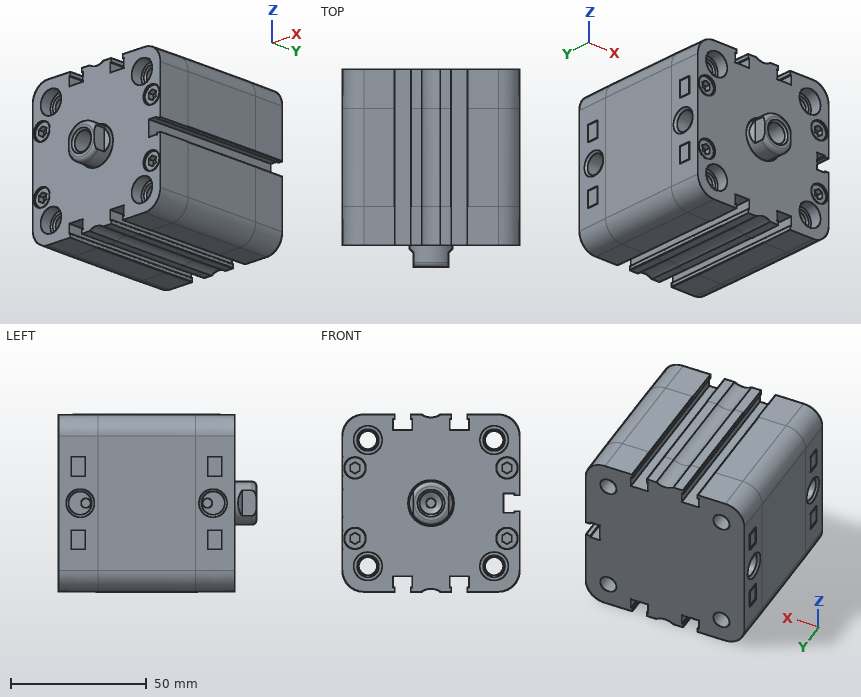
import cadquery as cq
import math


body_width = 65.5
body_length = 65.0
corner_radius = 8.0
cap_length = 14.5
cap_draft = 0.5
tube_length = body_length - 2 * cap_length
rear_joint = body_length - cap_length
half_width = body_width / 2
cap_fall = cap_length * math.tan(math.radians(cap_draft))

slot_offset = 10.45
slot_mouth = 5.8
slot_width = 7.0
slot_depth = 5.75
slot_lip = 1.75
side_slot_depth = 6.0
side_slot_lip = 2.05

groove_width = 7.0
groove_depth = 1.1

mouth_chamfer = 0.2

mount_pitch = 46.5
mount_bore = 6.65
mount_chamfer_diameter = 8.05
mount_chamfer_depth = (mount_chamfer_diameter - mount_bore) / 2
mount_counterbore = 10.5
mount_counterbore_depth = 5.2

screw_half_pitch_x = 28.0
screw_half_pitch_z = 13.0
screw_recess_diameter = 8.05
screw_head_diameter = 7.7
screw_recess_depth = 1.0
screw_head_drop = 0.5
hex_across_flats = 3.65
hex_depth = 2.5

port_inset = 8.0
port_mouth = 10.5
port_bore = 8.57
port_chamfer = (port_mouth - port_bore) / 2
port_depth = 9.0
passage_diameter = 3.5
passage_shift = 2.1
passage_depth = 14.0

label_length = 5.1
label_height = 7.1
label_inset = 7.35
label_half_pitch = 13.5
label_floor = 32.35

rod_diameter = 16.0
rod_hole = 16.5
rod_hole_mouth = 17.0
rod_hole_chamfer = (rod_hole_mouth - rod_hole) / 2
rod_reach = 8.0
rod_seat = cap_length
rod_round = 1.75
flat_across = 13.0
flat_length = 5.35
thread_core = 8.38
thread_mouth = 10.0
thread_chamfer = (thread_mouth - thread_core) / 2
thread_depth = 10.0
drill_half_angle = 59.0
thread_tip = 3.5
thread_tip_depth = (thread_core - thread_tip) / 2 / math.tan(math.radians(drill_half_angle))


def rearward_plane(y):
    """Plane at the given Y, with normal +Y and local X along -X."""
    return cq.Plane(origin=(0, y, 0), xDir=(-1, 0, 0), normal=(0, 1, 0))


def forward_plane(y):
    """Plane at the given Y, with normal -Y and local X along +X."""
    return cq.Plane(origin=(0, y, 0), xDir=(1, 0, 0), normal=(0, -1, 0))


def disc(diameter, length, x, y, z):
    """Cylinder that starts at (x, y, z) and runs along +Y."""
    return cq.Workplane(cq.Solid.makeCylinder(diameter / 2, length, cq.Vector(x, y, z), cq.Vector(0, 1, 0)))


def cone(start_diameter, end_diameter, length, x, y, z, direction):
    """Cone frustum that starts at (x, y, z) and runs along the direction."""
    return cq.Workplane(
        cq.Solid.makeCone(
            start_diameter / 2, end_diameter / 2, length, cq.Vector(x, y, z), cq.Vector(*direction)
        )
    )


def make_block():
    """Straight tube section with a drafted cap at each end."""
    section = cq.Sketch().rect(body_width, body_width).vertices().fillet(corner_radius)
    tube = cq.Workplane(rearward_plane(cap_length)).placeSketch(section).extrude(tube_length)
    front_base = cq.Workplane(forward_plane(cap_length)).placeSketch(section)
    rear_base = cq.Workplane(rearward_plane(rear_joint)).placeSketch(section)
    front_cap = front_base.extrude(cap_length, taper=cap_draft)
    rear_cap = rear_base.extrude(cap_length, taper=cap_draft)
    return tube.union(front_cap).union(rear_cap)


def slot_cutter(offset, depth, lip):
    """T-slot in the +Z face, running the full length at the given X offset."""
    mouth = cq.Workplane("XY").box(slot_mouth, body_length, depth, centered=(True, False, False))
    pocket = cq.Workplane("XY").box(slot_width, body_length, depth - lip, centered=(True, False, False))
    return mouth.union(pocket).translate((offset, 0, half_width - depth))


def run_along_face(section, run, fall):
    """Solid that carries a section along Y while it sinks by the given fall."""
    return cq.Workplane(cq.Solid.extrudeLinear(section, [], cq.Vector(0, run, -fall)))


def groove_section(y):
    """Arc segment in the middle of the +Z face, with its chord on the face."""
    half_groove = groove_width / 2
    return (
        cq.Workplane(forward_plane(y))
        .moveTo(-half_groove, half_width)
        .threePointArc((0, half_width - groove_depth), (half_groove, half_width))
        .close()
        .val()
    )


def mouth_chamfer_section(y, offset):
    """Trapezoid that bevels both edges of a slot mouth."""
    half_mouth = slot_mouth / 2
    return (
        cq.Workplane(forward_plane(y))
        .moveTo(offset - half_mouth, half_width - mouth_chamfer)
        .lineTo(offset + half_mouth, half_width - mouth_chamfer)
        .lineTo(offset + half_mouth + mouth_chamfer, half_width)
        .lineTo(offset - half_mouth - mouth_chamfer, half_width)
        .close()
        .val()
    )


def groove_cutter():
    """Arc groove over the whole length that sinks with the drafted caps."""
    tube = run_along_face(groove_section(cap_length), tube_length, 0)
    front = run_along_face(groove_section(cap_length), -cap_length, cap_fall)
    rear = run_along_face(groove_section(rear_joint), cap_length, cap_fall)
    return tube.union(front).union(rear)


def mouth_chamfer_cutter(offset):
    tube = run_along_face(mouth_chamfer_section(cap_length, offset), tube_length, 0)
    rear = run_along_face(mouth_chamfer_section(rear_joint, offset), cap_length, cap_fall)
    return tube.union(rear)


def around_axis(cutter, angle):
    return cutter.rotate((0, 0, 0), (0, 1, 0), angle)


def mount_cutter(x, z):
    through = disc(mount_bore, body_length, x, 0, z)
    counterbore = disc(mount_counterbore, mount_counterbore_depth, x, 0, z)
    chamfer = cone(
        mount_chamfer_diameter, mount_bore, mount_chamfer_depth, x, mount_counterbore_depth, z, (0, 1, 0)
    )
    return through.union(counterbore).union(chamfer)


def screw_cutter(x, z):
    """Recess around a slightly sunk screw head, with the hex socket in the head."""
    recess = disc(screw_recess_diameter, screw_recess_depth, x, 0, z)
    head = disc(screw_head_diameter, screw_recess_depth - screw_head_drop, x, screw_head_drop, z)
    across_corners = hex_across_flats / math.cos(math.pi / 6)
    socket = (
        cq.Workplane(rearward_plane(screw_head_drop))
        .center(-x, z)
        .transformed(rotate=(0, 0, 90))
        .polygon(6, across_corners)
        .extrude(hex_depth)
    )
    return recess.cut(head).union(socket)


def port_cutter(y, passage_y):
    """Port bore along +X with a countersunk mouth and a small passage in its floor."""
    inward = cq.Vector(1, 0, 0)
    bore = cq.Solid.makeCylinder(port_bore / 2, port_depth, cq.Vector(-half_width, y, 0), inward)
    passage = cq.Solid.makeCylinder(
        passage_diameter / 2, passage_depth, cq.Vector(-half_width, passage_y, 0), inward
    )
    mouth = cone(port_mouth, port_bore, port_chamfer, -half_width, y, 0, (1, 0, 0))
    return mouth.union(cq.Workplane(bore)).union(cq.Workplane(passage))


def label_cutter(y, z):
    depth = half_width - label_floor
    center_x = -half_width + depth / 2
    return cq.Workplane("XY").box(depth, label_length, label_height).translate((center_x, y, z))


def make_housing():
    body = make_block()

    for angle in (0, 180):
        for side in (-1, 1):
            body = body.cut(around_axis(slot_cutter(side * slot_offset, slot_depth, slot_lip), angle))
            body = body.cut(around_axis(mouth_chamfer_cutter(side * slot_offset), angle))
        body = body.cut(around_axis(groove_cutter(), angle))
    body = body.cut(around_axis(slot_cutter(0, side_slot_depth, side_slot_lip), 90))
    body = body.cut(around_axis(mouth_chamfer_cutter(0), 90))

    for side in (-1, 1):
        for level in (-1, 1):
            body = body.cut(mount_cutter(side * mount_pitch / 2, level * mount_pitch / 2))
            body = body.cut(screw_cutter(side * screw_half_pitch_x, level * screw_half_pitch_z))

    body = body.cut(port_cutter(port_inset, port_inset + passage_shift))
    rear_port = body_length - port_inset
    body = body.cut(port_cutter(rear_port, rear_port - passage_shift))

    for y in (label_inset, body_length - label_inset):
        for level in (-1, 1):
            body = body.cut(label_cutter(y, level * label_half_pitch))

    body = body.cut(disc(rod_hole, rod_seat, 0, 0, 0))
    return body.cut(cone(rod_hole_mouth, rod_hole, rod_hole_chamfer, 0, 0, 0, (0, 1, 0)))


def flat_cutter():
    """Wrench flat on the +X side of the rod, running out at 45 degrees."""
    flat_x = flat_across / 2
    flat_end = flat_length - rod_reach
    run_out = rod_diameter / 2 - flat_x
    return (
        cq.Workplane("XY", origin=(0, 0, -rod_diameter / 2))
        .moveTo(flat_x, -rod_reach)
        .lineTo(flat_x, flat_end)
        .lineTo(flat_x + run_out, flat_end + run_out)
        .lineTo(flat_x + run_out, -rod_reach)
        .close()
        .extrude(rod_diameter)
    )


def make_rod():
    rod = disc(rod_diameter, rod_reach + rod_seat, 0, -rod_reach, 0)
    rod = rod.faces("<Y").edges().fillet(rod_round)
    for angle in (0, 180):
        rod = rod.cut(around_axis(flat_cutter(), angle))

    rod = rod.cut(disc(thread_core, thread_depth, 0, -rod_reach, 0))
    rod = rod.cut(cone(thread_mouth, thread_core, thread_chamfer, 0, -rod_reach, 0, (0, 1, 0)))
    tip_start = thread_depth - rod_reach
    return rod.cut(cone(thread_core, thread_tip, thread_tip_depth, 0, tip_start, 0, (0, 1, 0)))


housing = make_housing()
piston_rod = make_rod()

result = cq.Compound.makeCompound([housing.val(), piston_rod.val()])